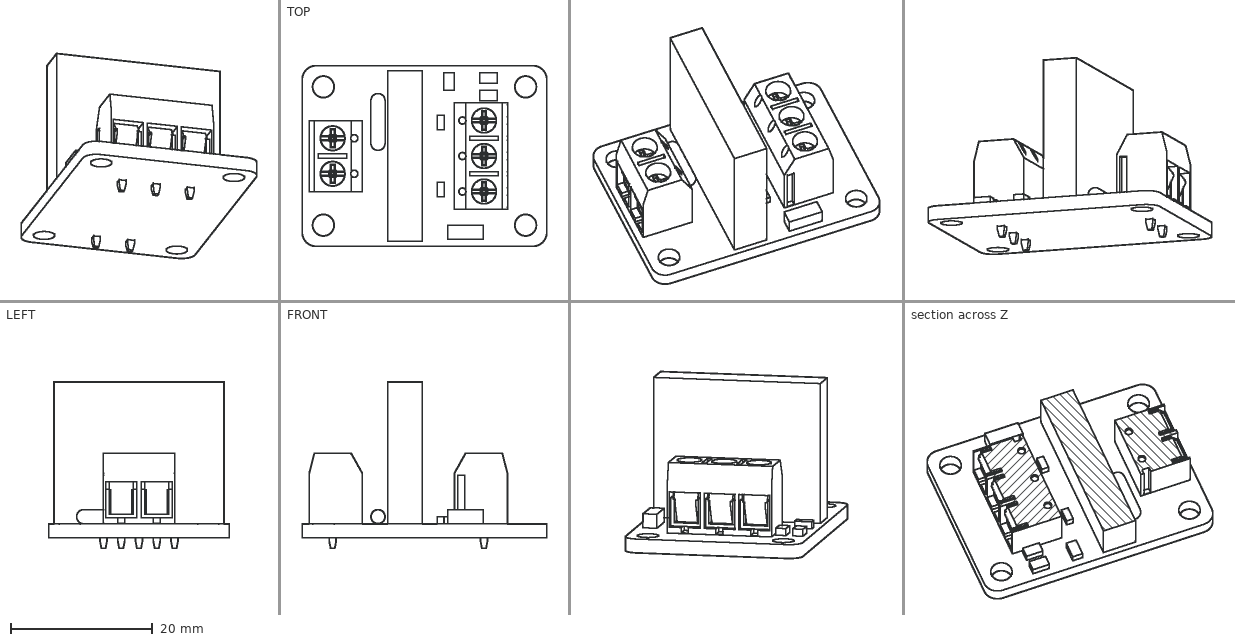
import cadquery as cq
import math


BOARD_LENGTH = 34.5
BOARD_WIDTH = 25.5
BOARD_THICKNESS = 2.0
BOARD_CORNER_RADIUS = 2.0
MOUNT_HOLE_DIAMETER = 3.0
MOUNT_HOLE_INSET = 3.0

RELAY_X = -2.75
RELAY_LENGTH = 4.9
RELAY_WIDTH = 24.0
RELAY_HEIGHT = 20.0
FUSE_X = -6.55
FUSE_Y = 4.8
FUSE_DIAMETER = 2.0
FUSE_LENGTH = 8.0

SMALL_CHIP_SIZE = (1.0, 2.0, 1.0)
SMALL_CHIP_X = 2.28
SMALL_CHIP_Y = 4.73
CORNER_CHIP_SIZE = (1.5, 2.5, 1.0)
CORNER_CHIP_PLACE = (3.5, 10.5)
LARGE_CHIP_SIZE = (5.0, 2.0, 2.0)
LARGE_CHIP_PLACE = (5.75, -10.73)
RAISED_PAD_SIZE = (2.5, 1.5, 1.0)
RAISED_PAD_X = 9.0
RAISED_PAD_YS = (8.52, 10.97)

PITCH = 5.0
SMALL_TERMINAL_POLES = 2
SMALL_TERMINAL_FACE_X = -16.25
LARGE_TERMINAL_POLES = 3
LARGE_TERMINAL_FACE_X = 11.7
TERMINAL_DEPTH = 7.5
TERMINAL_HEIGHT = 9.97
SHOULDER_DROP = 2.83
SHOULDER_HEIGHT = TERMINAL_HEIGHT - SHOULDER_DROP
FRONT_SLOPE_RUN = 0.72
BACK_SLOPE_RUN = 1.6
POLE_X = 3.3

BORE_DIAMETER = 3.5
SCREW_DIAMETER = 3.4
SCREW_TOP_DEPTH = 2.2
SCREW_HEAD_HEIGHT = 1.0
SCREW_EDGE_RADIUS = 0.28
CROSS_TOP_WIDTH = 0.7
CROSS_FLOOR_WIDTH = 0.38
CROSS_DEPTH = 0.35
CROSS_SHORT_LENGTH = 2.73
SOCKET_TOP_DIAMETER = 1.28
SOCKET_FLOOR_DIAMETER = 0.85
SOCKET_DEPTH = 0.62
DIMPLE_TOP_DIAMETER = 0.83
DIMPLE_FLOOR_DIAMETER = 0.4
DIMPLE_DEPTH = 0.17

TEST_HOLE_DIAMETER = 1.0
TEST_HOLE_X = 6.35
TEST_HOLE_FLOOR = 5.0
MARK_LENGTH = 4.0
MARK_WIDTH = 0.6
MARK_DEPTH = 1.0
GROOVE_WIDTH = 1.0
GROOVE_FROM_BACK = 0.5
GROOVE_DEPTH = 0.7
GROOVE_HEIGHT = 6.85

OPENING_WIDTH = 4.4
OPENING_SILL = 0.85
OPENING_TOP = 5.9
OPENING_DEPTH = 1.0
FRAME_TOP = 4.9
THROAT_WIDTH = 3.45
THROAT_SILL = 1.35
THROAT_DEPTH = 2.5
SILL_NOTCH_WIDTH = 1.0
SILL_NOTCH_DEPTH = 2.0
BASE_SKIN = 0.1

CLAMP_SIDE_GAP = 0.25
NOSE_RADIUS = 0.5
NOSE_OVERHANG = 0.62
NOSE_X = OPENING_DEPTH - NOSE_OVERHANG + NOSE_RADIUS
NOSE_Z = 4.45
SLOPE_ANGLE = math.radians(40)
UNDERCUT_ANGLE = math.radians(26)

PIN_WIDTH = 1.0
PIN_TIP_WIDTH = 0.62
PIN_LENGTH = 1.45
PIN_STRAIGHT_LENGTH = 0.5


def block(x_min, x_max, y_center, width, z_min, z_max):
    """A box given by its X range, its centre and width along Y, and its Z range."""
    box = cq.Workplane("XY").box(x_max - x_min, width, z_max - z_min, centered=(False, True, False))
    return box.translate((x_min, y_center, z_min))


def standing_block(size, x, y):
    """A box standing on the board, centred at (x, y)."""
    return cq.Workplane("XY").box(*size, centered=(True, True, False)).translate((x, y, 0))


def disc(diameter, x, y, z_min, z_max):
    """An upright cylinder."""
    return cq.Workplane("XY", origin=(x, y, z_min)).circle(diameter / 2).extrude(z_max - z_min)


def pole_positions(poles):
    """Y of each pole in a terminal centred on Y = 0."""
    return [(i - (poles - 1) / 2) * PITCH for i in range(poles)]


def terminal_block(poles):
    """Plain housing: a profile with a steep front slope and a flatter back slope."""
    width = poles * PITCH
    profile = [
        (0, 0),
        (0, SHOULDER_HEIGHT),
        (FRONT_SLOPE_RUN, TERMINAL_HEIGHT),
        (TERMINAL_DEPTH - BACK_SLOPE_RUN, TERMINAL_HEIGHT),
        (TERMINAL_DEPTH, SHOULDER_HEIGHT),
        (TERMINAL_DEPTH, 0),
    ]
    return cq.Workplane("XZ").polyline(profile).close().extrude(width / 2, both=True)


def clamp(y):
    """Clamp that fills the throat behind a rounded nose."""
    slope_start = (
        NOSE_X - NOSE_RADIUS * math.cos(SLOPE_ANGLE),
        NOSE_Z + NOSE_RADIUS * math.sin(SLOPE_ANGLE),
    )
    undercut_start = (
        NOSE_X - NOSE_RADIUS * math.cos(UNDERCUT_ANGLE),
        NOSE_Z - NOSE_RADIUS * math.sin(UNDERCUT_ANGLE),
    )
    slope_end_x = slope_start[0] + (OPENING_TOP - slope_start[1]) * math.tan(SLOPE_ANGLE)
    undercut_end_x = undercut_start[0] + (undercut_start[1] - THROAT_SILL) * math.tan(UNDERCUT_ANGLE)
    body = (
        cq.Workplane("XZ")
        .moveTo(slope_end_x, OPENING_TOP)
        .lineTo(*slope_start)
        .threePointArc((NOSE_X - NOSE_RADIUS, NOSE_Z), undercut_start)
        .lineTo(undercut_end_x, THROAT_SILL)
        .lineTo(THROAT_DEPTH, THROAT_SILL)
        .lineTo(THROAT_DEPTH, OPENING_TOP)
        .close()
        .extrude(THROAT_WIDTH / 2, both=True)
    )
    for side in (-1, 1):
        gap_y = side * (THROAT_WIDTH - CLAMP_SIDE_GAP) / 2
        body = body.cut(block(0, THROAT_DEPTH, gap_y, CLAMP_SIDE_GAP, THROAT_SILL, slope_start[1]))
    return body.translate((0, y, 0))


def cut_wire_opening(housing, y):
    """Window in the wire face, with a notched sill and a clamp inside its throat."""
    housing = housing.cut(block(0, OPENING_DEPTH, y, OPENING_WIDTH, OPENING_SILL, OPENING_TOP))
    housing = housing.cut(block(0, THROAT_DEPTH, y, OPENING_WIDTH, FRAME_TOP, OPENING_TOP))
    housing = housing.cut(block(0, THROAT_DEPTH, y, THROAT_WIDTH, THROAT_SILL, OPENING_TOP))
    housing = housing.cut(block(0, SILL_NOTCH_DEPTH, y, SILL_NOTCH_WIDTH, BASE_SKIN, OPENING_SILL))
    return housing.union(clamp(y))


def cross_slot(length, width):
    """One slot of the screw drive, cut down from Z = 0 with sloping walls."""
    taper = math.degrees(math.atan((CROSS_TOP_WIDTH - CROSS_FLOOR_WIDTH) / 2 / CROSS_DEPTH))
    return cq.Workplane("XY").rect(length, width).extrude(-CROSS_DEPTH, taper=taper)


def cone_pit(top_diameter, floor_diameter, start_depth, depth):
    """Tapered round pit that starts at a depth below Z = 0."""
    return (
        cq.Workplane("XY", origin=(0, 0, -start_depth))
        .circle(top_diameter / 2)
        .workplane(offset=-depth)
        .circle(floor_diameter / 2)
        .loft()
    )


def screw_head():
    """Round-edged screw head with a cross drive, its top at Z = 0."""
    head = disc(SCREW_DIAMETER, 0, 0, -SCREW_HEAD_HEIGHT, 0).faces(">Z").edges().fillet(SCREW_EDGE_RADIUS)
    through_length = SCREW_DIAMETER + CROSS_TOP_WIDTH
    head = head.cut(cross_slot(through_length, CROSS_TOP_WIDTH))
    head = head.cut(cross_slot(CROSS_TOP_WIDTH, CROSS_SHORT_LENGTH))
    head = head.cut(cone_pit(SOCKET_TOP_DIAMETER, SOCKET_FLOOR_DIAMETER, 0, SOCKET_DEPTH))
    return head.cut(cone_pit(DIMPLE_TOP_DIAMETER, DIMPLE_FLOOR_DIAMETER, SOCKET_DEPTH, DIMPLE_DEPTH))


def add_screw(housing, y):
    """Screw head seated at the bottom of an open bore."""
    screw_top = TERMINAL_HEIGHT - SCREW_TOP_DEPTH
    bore_floor = screw_top - SCREW_HEAD_HEIGHT
    housing = housing.cut(disc(BORE_DIAMETER, POLE_X, y, bore_floor, TERMINAL_HEIGHT))
    return housing.union(screw_head().translate((POLE_X, y, screw_top)))


def pin(y):
    """Square pin that runs through the board and ends in a tapered tip."""
    straight_end = -BOARD_THICKNESS - PIN_STRAIGHT_LENGTH
    half_width = PIN_WIDTH / 2
    shank = block(POLE_X - half_width, POLE_X + half_width, y, PIN_WIDTH, straight_end, 0)
    tip = (
        cq.Workplane("XY", origin=(POLE_X, y, straight_end))
        .rect(PIN_WIDTH, PIN_WIDTH)
        .workplane(offset=PIN_STRAIGHT_LENGTH - PIN_LENGTH)
        .rect(PIN_TIP_WIDTH, PIN_TIP_WIDTH)
        .loft()
    )
    return shank.union(tip)


def make_terminal(poles):
    """Screw terminal with its wire face at X = 0, facing -X."""
    width = poles * PITCH
    pole_ys = pole_positions(poles)
    terminal = terminal_block(poles)
    for y in pole_ys:
        terminal = cut_wire_opening(terminal, y)
        terminal = add_screw(terminal, y)
        terminal = terminal.cut(disc(TEST_HOLE_DIAMETER, TEST_HOLE_X, y, TEST_HOLE_FLOOR, TERMINAL_HEIGHT))
        terminal = terminal.union(pin(y))
    mark_floor = TERMINAL_HEIGHT - MARK_DEPTH
    for y in pole_ys[:-1]:
        mark = block(POLE_X - MARK_LENGTH / 2, POLE_X + MARK_LENGTH / 2, y + PITCH / 2,
                     MARK_WIDTH, mark_floor, TERMINAL_HEIGHT)
        terminal = terminal.cut(mark)
    groove_end = TERMINAL_DEPTH - GROOVE_FROM_BACK
    groove = block(groove_end - GROOVE_WIDTH, groove_end, (width - GROOVE_DEPTH) / 2,
                   GROOVE_DEPTH, BASE_SKIN, GROOVE_HEIGHT)
    return terminal.cut(groove)


def make_board():
    """Board with rounded corners, mounting holes, pin holes and two raised pads."""
    board = (
        cq.Workplane("XY")
        .rect(BOARD_LENGTH, BOARD_WIDTH)
        .extrude(-BOARD_THICKNESS)
        .edges("|Z")
        .fillet(BOARD_CORNER_RADIUS)
    )
    hole_spacing_x = BOARD_LENGTH - 2 * MOUNT_HOLE_INSET
    hole_spacing_y = BOARD_WIDTH - 2 * MOUNT_HOLE_INSET
    mount_holes = (
        cq.Workplane("XY")
        .rect(hole_spacing_x, hole_spacing_y, forConstruction=True)
        .vertices()
        .circle(MOUNT_HOLE_DIAMETER / 2)
        .extrude(-BOARD_THICKNESS)
    )
    small_pin_x = SMALL_TERMINAL_FACE_X + POLE_X
    large_pin_x = LARGE_TERMINAL_FACE_X - POLE_X
    pin_places = [(small_pin_x, y) for y in pole_positions(SMALL_TERMINAL_POLES)]
    pin_places += [(large_pin_x, y) for y in pole_positions(LARGE_TERMINAL_POLES)]
    pin_holes = (
        cq.Workplane("XY").pushPoints(pin_places).rect(PIN_WIDTH, PIN_WIDTH).extrude(-BOARD_THICKNESS)
    )
    board = board.cut(mount_holes).cut(pin_holes)
    for y in RAISED_PAD_YS:
        board = board.union(standing_block(RAISED_PAD_SIZE, RAISED_PAD_X, y))
    return board


def make_fuse():
    """Round-ended glass fuse lying along Y on the board."""
    radius = FUSE_DIAMETER / 2
    half_straight = FUSE_LENGTH / 2 - radius
    fuse = cq.Workplane("XZ").circle(radius).extrude(half_straight, both=True)
    for end in (-half_straight, half_straight):
        fuse = fuse.union(cq.Workplane("XY").sphere(radius).translate((0, end, 0)))
    return fuse.translate((FUSE_X, FUSE_Y, radius))


board = make_board()
relay = standing_block((RELAY_LENGTH, RELAY_WIDTH, RELAY_HEIGHT), RELAY_X, 0)
fuse = make_fuse()

small_terminal = make_terminal(SMALL_TERMINAL_POLES).translate((SMALL_TERMINAL_FACE_X, 0, 0))
large_terminal = (
    make_terminal(LARGE_TERMINAL_POLES)
    .rotate((0, 0, 0), (0, 0, 1), 180)
    .translate((LARGE_TERMINAL_FACE_X, 0, 0))
)

small_chips = [standing_block(SMALL_CHIP_SIZE, SMALL_CHIP_X, side * SMALL_CHIP_Y) for side in (-1, 1)]
corner_chip = standing_block(CORNER_CHIP_SIZE, *CORNER_CHIP_PLACE)
large_chip = standing_block(LARGE_CHIP_SIZE, *LARGE_CHIP_PLACE)

result = cq.Compound.makeCompound([
    board.val(),
    relay.val(),
    fuse.val(),
    small_terminal.val(),
    large_terminal.val(),
    *[chip.val() for chip in small_chips],
    corner_chip.val(),
    large_chip.val(),
])